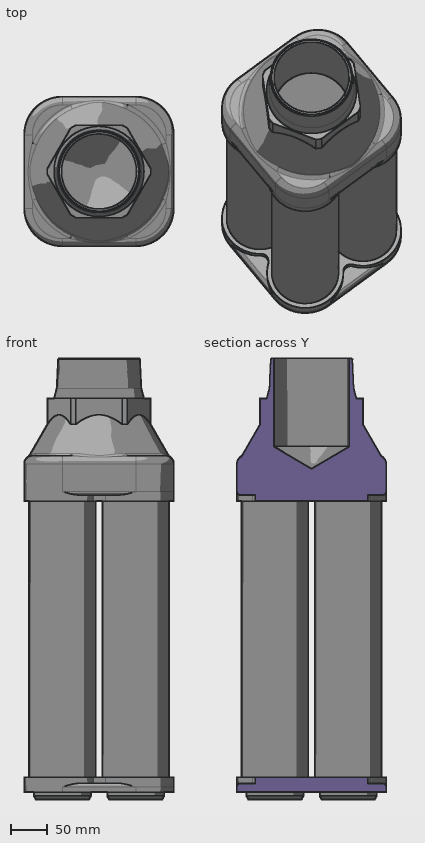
import cadquery as cq
import math

outer_width = 203.0
tube_offset = 50.0
sleeve_radius = outer_width / 2 - tube_offset
notch_fillet = 10.0
tube_diameter = 91.0

total_height = 599.0
base_bottom = 10.0
base_shelf = 22.0
base_top = 30.5
housing_bottom = 405.0
housing_shelf = 413.5
housing_top = 467.0
hex_top = 544.5
collar_top = 558.5

shelf_edge_fillet = 5.0
housing_top_fillet = 11.0

plug_diameter = 78.0
plug_step_height = 5.5
plug_tip_diameter = 72.0

cone_half_angle = 30.0
cone_foot_radius = 94.5
cone_foot_fillet = 7.0
foot_clearance = 0.5

hex_across_flats = 125.0
hex_corner_diameter = 140.0

collar_diameter = 122.0
nozzle_base_diameter = 115.0
nozzle_tip_diameter = 111.5
nozzle_tip_chamfer = 2.0
bore_diameter = 102.0
bore_bottom = 479.5
bore_cone_depth = 30.0

tube_centres = [(x, y) for x in (-tube_offset, tube_offset) for y in (-tube_offset, tube_offset)]


def cylinders(diameter, bottom, top):
    """One cylinder on each tube axis."""
    plane = cq.Workplane("XY").workplane(offset=bottom)
    return plane.pushPoints(tube_centres).circle(diameter / 2).extrude(top - bottom)


def rounded_block(bottom, top):
    """Square block with corners concentric with the tubes."""
    plane = cq.Workplane("XY").workplane(offset=bottom)
    return plane.rect(outer_width, outer_width).extrude(top - bottom).edges("|Z").fillet(sleeve_radius)


def turned(point, quarter_turns):
    """Point rotated about the part's axis by whole quarter turns."""
    x, y = point
    for _ in range(quarter_turns):
        x, y = -y, x
    return x, y


def sleeve_cluster(bottom, top):
    """Four joined sleeves with rounded notches between them."""
    centre_span = sleeve_radius + notch_fillet
    fillet_centre = tube_offset + math.sqrt(centre_span**2 - tube_offset**2)
    tangent_x = tube_offset * notch_fillet / centre_span
    tangent_y = fillet_centre - (fillet_centre - tube_offset) * notch_fillet / centre_span
    corner = tube_offset + sleeve_radius * math.sqrt(0.5)

    outline = cq.Workplane("XY").workplane(offset=bottom).moveTo(tangent_y, tangent_x)
    for turn in range(4):
        outline = outline.threePointArc(turned((corner, corner), turn), turned((tangent_x, tangent_y), turn))
        outline = outline.threePointArc(
            turned((0, fillet_centre - notch_fillet), turn),
            turned((-tangent_x, tangent_y), turn),
        )
    return outline.close().extrude(top - bottom)


def base():
    plate = rounded_block(base_bottom, base_shelf).faces(">Z").edges().fillet(shelf_edge_fillet)
    return plate.union(sleeve_cluster(base_bottom, base_top))


def plugs():
    plug = cylinders(plug_diameter, 0, base_bottom)
    chamfer_width = (plug_diameter - plug_tip_diameter) / 2
    return plug.faces("<Z").edges().chamfer(plug_step_height, chamfer_width)


def housing():
    block = rounded_block(housing_shelf, housing_top)
    block = block.faces(">Z").edges().fillet(housing_top_fillet)
    block = block.faces("<Z").edges().fillet(shelf_edge_fillet)
    return block.union(sleeve_cluster(housing_bottom, housing_top - housing_top_fillet))


def housing_with_shoulder():
    """Housing carrying a cone that narrows upward from a filleted foot."""
    slope = math.tan(math.radians(cone_half_angle))
    cone_bottom = housing_top - housing_top_fillet
    bottom_radius = cone_foot_radius + (housing_top - cone_bottom) * slope
    top_radius = cone_foot_radius - (hex_top - housing_top) * slope
    cone = cq.Workplane(
        cq.Solid.makeCone(bottom_radius, top_radius, hex_top - cone_bottom, cq.Vector(0, 0, cone_bottom))
    )
    foot = cq.selectors.BoxSelector(
        (-outer_width, -outer_width, cone_bottom),
        (outer_width, outer_width, housing_top + foot_clearance),
    )
    return housing().union(cone).faces("%CONE").edges(foot).fillet(cone_foot_fillet)


def hexagon():
    """Hexagonal prism with its corners trimmed to a cylinder."""
    plane = cq.Workplane("XY").workplane(offset=housing_top)
    height = hex_top - housing_top
    prism = plane.polygon(6, hex_across_flats / math.cos(math.pi / 6)).extrude(height)
    return prism.intersect(plane.circle(hex_corner_diameter / 2).extrude(height))


def nozzle():
    """Tapered collar with a tapered spout above it."""
    profile = (
        cq.Workplane("XZ")
        .moveTo(0, housing_top)
        .lineTo(collar_diameter / 2, housing_top)
        .lineTo(collar_diameter / 2, hex_top)
        .lineTo(nozzle_base_diameter / 2, collar_top)
        .lineTo(nozzle_tip_diameter / 2, total_height - nozzle_tip_chamfer)
        .lineTo(nozzle_tip_diameter / 2 - nozzle_tip_chamfer, total_height)
        .lineTo(0, total_height)
        .close()
    )
    return profile.revolve(360, (0, 0), (0, 1))


def bore():
    """Blind bore with a conical bottom."""
    profile = (
        cq.Workplane("XZ")
        .moveTo(0, bore_bottom - bore_cone_depth)
        .lineTo(bore_diameter / 2, bore_bottom)
        .lineTo(bore_diameter / 2, total_height)
        .lineTo(0, total_height)
        .close()
    )
    return profile.revolve(360, (0, 0), (0, 1))


result = (
    base()
    .union(plugs())
    .union(cylinders(tube_diameter, base_bottom, housing_top - housing_top_fillet))
    .union(housing_with_shoulder())
    .union(hexagon())
    .union(nozzle())
    .cut(bore())
)